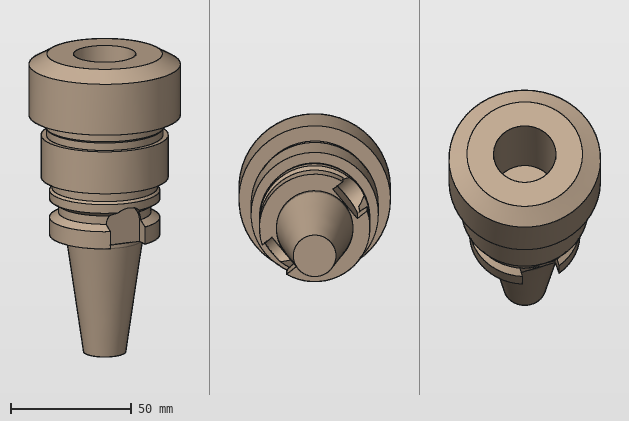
import cadquery as cq

total_height = 128.4
bore_radius = 13.0
bore_depth = 38.5

nut_radius = 63.0 / 2
nut_top_radius = 24.0
nut_chamfer_z = 124.0
nut_bottom_z = 102.1

neck_radius = 25.0
neck_bottom_z = 97.5
relief_radius = 24.3
relief_top_z = 96.7

body_radius = 26.5
body_top_z = 93.5
body_bottom_z = 75.4
shank_radius = 22.0

flange_radius = 23.0
flange_top_z = 70.7
flange_bevel = flange_radius - shank_radius
groove_radius = 19.3
groove_upper_z = 66.0
groove_lower_z = 58.0
groove_bevel_height = 2.2
flange_bottom_z = 50.6

taper_large_radius = 15.9
taper_small_radius = 8.9
taper_top_z = 48.8

slot_width = 16.0
slot_apex_z = 67.7
slot_floor_x = 16.3


def make_body():
    """Revolve the half section, given as (radius, height) points, about Z."""
    section = [
        (0, 0),
        (taper_small_radius, 0),
        (taper_large_radius, taper_top_z),
        (taper_large_radius, flange_bottom_z),
        (flange_radius, flange_bottom_z),
        (flange_radius, groove_lower_z),
        (groove_radius, groove_lower_z + groove_bevel_height),
        (groove_radius, groove_upper_z - groove_bevel_height),
        (flange_radius, groove_upper_z),
        (flange_radius, flange_top_z - flange_bevel),
        (shank_radius, flange_top_z),
        (shank_radius, body_bottom_z),
        (body_radius, body_bottom_z),
        (body_radius, body_top_z),
        (relief_radius, body_top_z),
        (relief_radius, relief_top_z),
        (neck_radius, neck_bottom_z),
        (neck_radius, nut_bottom_z),
        (nut_radius, nut_bottom_z),
        (nut_radius, nut_chamfer_z),
        (nut_top_radius, total_height),
        (0, total_height),
    ]
    return cq.Workplane("XZ").polyline(section).close().revolve(360, (0, 0), (0, 1))


def make_slot_cutter(side):
    """Round-topped block outside the slot floor; side is +1 or -1 along X."""
    half_width = slot_width / 2
    arc_start_z = slot_apex_z - half_width
    return (
        cq.Workplane("YZ", origin=(side * slot_floor_x, 0, 0))
        .moveTo(-half_width, flange_bottom_z)
        .lineTo(half_width, flange_bottom_z)
        .lineTo(half_width, arc_start_z)
        .threePointArc((0, slot_apex_z), (-half_width, arc_start_z))
        .close()
        .extrude(side * (flange_radius - slot_floor_x))
    )


result = make_body()

result = result.faces(">Z").workplane().circle(bore_radius).cutBlind(-bore_depth)

for side in (-1, 1):
    result = result.cut(make_slot_cutter(side))